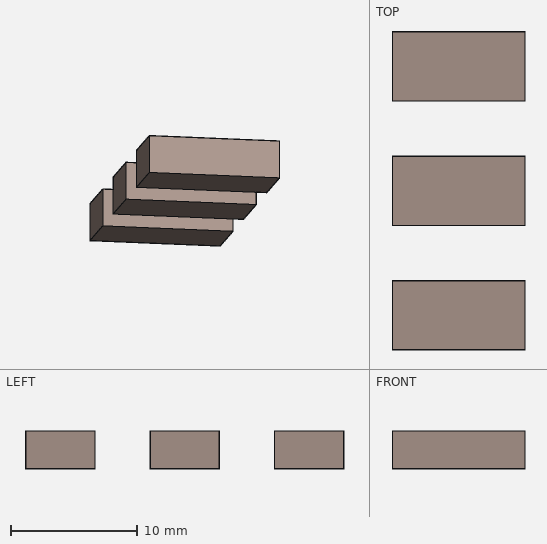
import cadquery as cq

row_length = 25.2

block_length = 10.5
block_width = 5.5
block_height = 3.0

block_count = 3
block_pitch = (row_length - block_width) / (block_count - 1)


def make_block(center_y):
    """Plain rectangular block standing on Z = 0, centred on X = 0."""
    return (
        cq.Workplane("XY")
        .center(0, center_y)
        .box(block_length, block_width, block_height, centered=(True, True, False))
    )


first_center_y = -(row_length - block_width) / 2
blocks = []
for index in range(block_count):
    block = make_block(first_center_y + index * block_pitch)
    blocks.append(block.val())

result = cq.Compound.makeCompound(blocks)